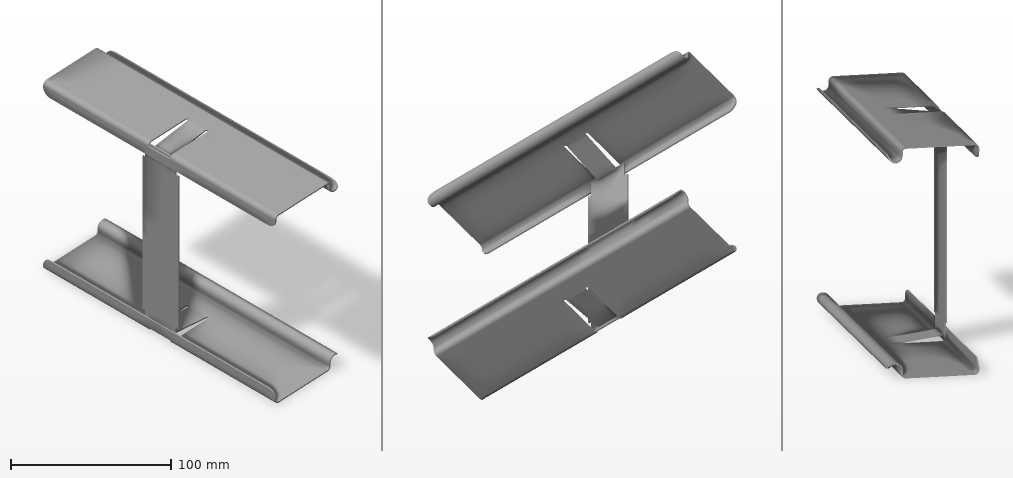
import cadquery as cq
import math

length = 200.0
height = 148.0
depth = 58.2
sheet = 1.0
half_length = length / 2
top = height / 2

bend_outer = 3.2
bend_inner = bend_outer - sheet
rear_bend_outer = 3.0
rear_bend_inner = rear_bend_outer - sheet
lip_height = 10.0
lip_corner = 6.0
hook_outer = 4.5
hook_inner = hook_outer - sheet
hook_bottom = 10.0
hook_y = depth - hook_outer
hook_z = top - hook_bottom + hook_outer
hook_front = hook_y - hook_outer
hook_back = hook_front + sheet
hook_corner_run = 8.0
hook_corner_rise = 4.5

window_width = 19.0
window_corner = 1.0
slot_width = 2.0
slot_end_y = 35.0
tongue_width = window_width - 2 * slot_width
tongue_root_y = 33.8
tongue_drop = 4.0

web_width = 31.0
web_front = sheet
web_back = web_front + sheet
web_top = top - 1.5
neck_width = 26.0
shoulder_z = top - 14.0


def bend_point(y, z, radius, side):
    """Middle of a quarter bend about (y, z), on the upper front (-1) or upper rear (+1) side."""
    offset = radius * math.sqrt(0.5)
    return (y + side * offset, z + offset)


def extrude_along_x(outline, width):
    return outline.close().extrude(width / 2, both=True)


def rail_sheet():
    bend_z = top - bend_outer
    rear_bend_y = hook_back - rear_bend_outer
    rear_bend_z = top - rear_bend_outer
    outline = (
        cq.Workplane("YZ")
        .moveTo(0, top - lip_height)
        .lineTo(0, bend_z)
        .threePointArc(bend_point(bend_outer, bend_z, bend_outer, -1), (bend_outer, top))
        .lineTo(rear_bend_y, top)
        .threePointArc(bend_point(rear_bend_y, rear_bend_z, rear_bend_outer, 1), (hook_back, rear_bend_z))
        .lineTo(hook_back, hook_z)
        .threePointArc((hook_y, hook_z - hook_inner), (hook_y + hook_inner, hook_z))
        .lineTo(depth, hook_z)
        .threePointArc((hook_y, hook_z - hook_outer), (hook_front, hook_z))
        .lineTo(hook_front, rear_bend_z)
        .threePointArc(bend_point(rear_bend_y, rear_bend_z, rear_bend_inner, 1), (rear_bend_y, top - sheet))
        .lineTo(bend_outer, top - sheet)
        .threePointArc(bend_point(bend_outer, bend_z, bend_inner, -1), (sheet, bend_z))
        .lineTo(sheet, top - lip_height)
    )
    return extrude_along_x(outline, length)


def corner_cutter(side, edge_z, upward, run, rise, y_start, y_end):
    """Waste outside an elliptical corner at one end of a free edge; upward is +1 for an upper corner."""
    center_x = side * (half_length - run)
    center_z = edge_z - upward * rise
    middle_y = (y_start + y_end) / 2
    thickness = y_end - y_start
    block = cq.Workplane("XY").box(run, thickness, rise).translate(
        (center_x + side * run / 2, middle_y, center_z + upward * rise / 2)
    )
    rounding = (
        cq.Workplane("XZ", origin=(center_x, middle_y, center_z))
        .ellipse(run, rise)
        .extrude(thickness, both=True)
    )
    return block.cut(rounding)


def tongue_window():
    """Opening through the plate and front bend, with a rounded relief beside each tongue root."""
    opening = (
        cq.Workplane("XY")
        .box(window_width, tongue_root_y, bend_outer, centered=(True, False, False))
        .edges("|Y and <Z")
        .fillet(window_corner)
        .translate((0, 0, top - bend_outer))
    )
    reliefs = (
        cq.Workplane("XY", origin=(0, slot_end_y - slot_width / 2, top - bend_outer))
        .pushPoints([(side * (window_width - slot_width) / 2, 0) for side in (-1, 1)])
        .circle(slot_width / 2)
        .extrude(bend_outer)
    )
    return opening.union(reliefs)


def tongue():
    """Sloping strip from the plate to the back face of the web."""
    outline = (
        cq.Workplane("YZ")
        .moveTo(tongue_root_y, top)
        .lineTo(web_back, top - tongue_drop)
        .lineTo(web_back, top - tongue_drop - sheet)
        .lineTo(tongue_root_y, top - sheet)
    )
    return extrude_along_x(outline, tongue_width)


def upper_rail():
    rail = rail_sheet()
    for side in (-1, 1):
        rail = rail.cut(corner_cutter(side, top - lip_height, -1, lip_corner, lip_corner, 0, sheet))
        rail = rail.cut(corner_cutter(side, hook_z, 1, hook_corner_run, hook_corner_rise, hook_y, depth))
    return rail.cut(tongue_window()).union(tongue())


def web():
    body = cq.Workplane("XY").box(web_width, sheet, 2 * shoulder_z)
    neck = cq.Workplane("XY").box(neck_width, sheet, 2 * web_top)
    return body.union(neck).translate((0, (web_front + web_back) / 2, 0))


rail = upper_rail()
result = rail.union(rail.mirror("XY")).union(web())